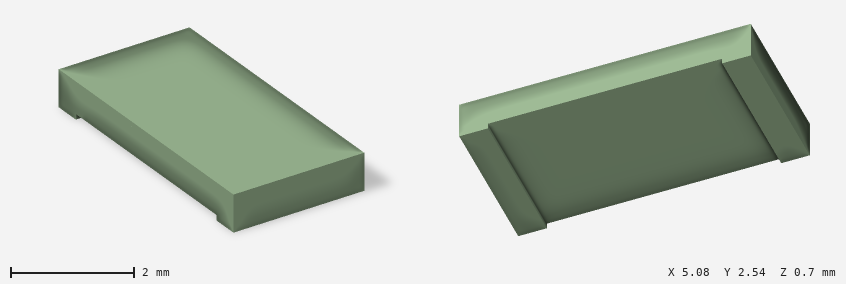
import cadquery as cq

length = 5.08
width = 2.54
height = 0.7
plating = 0.1
top_terminal = 0.585
bottom_terminal = 0.5

half_length = length / 2
half_height = height / 2
core_length = length - 2 * plating
core_height = height - 2 * plating
coating_length = length - 2 * top_terminal


def make_core():
    """Plain ceramic block held between the terminals."""
    return cq.Workplane("XY").box(core_length, width, core_height)


def make_coating():
    """Protective layer on the core, flush with the terminal tops."""
    coating_centre_z = half_height - plating / 2
    return (
        cq.Workplane("XY")
        .box(coating_length, width, plating)
        .translate((0, 0, coating_centre_z))
    )


def make_terminal(side):
    """C-shaped terminal around one core end; side is -1 for -X, +1 for +X."""
    end_x = side * half_length
    core_end_x = side * core_length / 2
    top_edge_x = side * (half_length - top_terminal)
    bottom_edge_x = side * (half_length - bottom_terminal)
    core_top_z = core_height / 2
    outline = [
        (top_edge_x, half_height),
        (end_x, half_height),
        (end_x, -half_height),
        (bottom_edge_x, -half_height),
        (bottom_edge_x, -core_top_z),
        (core_end_x, -core_top_z),
        (core_end_x, core_top_z),
        (top_edge_x, core_top_z),
    ]
    return cq.Workplane("XZ").polyline(outline).close().extrude(width / 2, both=True)


core = make_core()
coating = make_coating()
terminals = [make_terminal(side) for side in (-1, 1)]

result = cq.Compound.makeCompound(
    [core.val(), coating.val(), *[terminal.val() for terminal in terminals]]
)